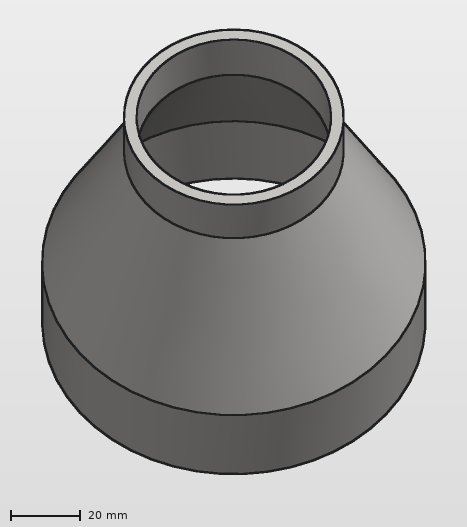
import cadquery as cq
import math

wide_diameter = 110.0
narrow_diameter = 63.0
wall = 3.6

wide_length = 28.0
cone_length = 53.0
narrow_length = 16.0

wide_radius = wide_diameter / 2
narrow_radius = narrow_diameter / 2
cone_top = wide_length + cone_length
total_height = cone_top + narrow_length

cone_half_angle = math.atan2(wide_radius - narrow_radius, cone_length)
bend_drop = wall * math.tan(cone_half_angle / 2)


def stepped_cone(lower_radius, upper_radius, cone_start, cone_end):
    """Solid of a lower cylinder, a cone and an upper cylinder on the Z axis."""
    return (
        cq.Workplane("XZ")
        .moveTo(0, 0)
        .lineTo(lower_radius, 0)
        .lineTo(lower_radius, cone_start)
        .lineTo(upper_radius, cone_end)
        .lineTo(upper_radius, total_height)
        .lineTo(0, total_height)
        .close()
        .revolve(360, (0, 0, 0), (0, 1, 0))
    )


outer_body = stepped_cone(wide_radius, narrow_radius, wide_length, cone_top)
flow_passage = stepped_cone(
    wide_radius - wall,
    narrow_radius - wall,
    wide_length - bend_drop,
    cone_top - bend_drop,
)

result = outer_body.cut(flow_passage)